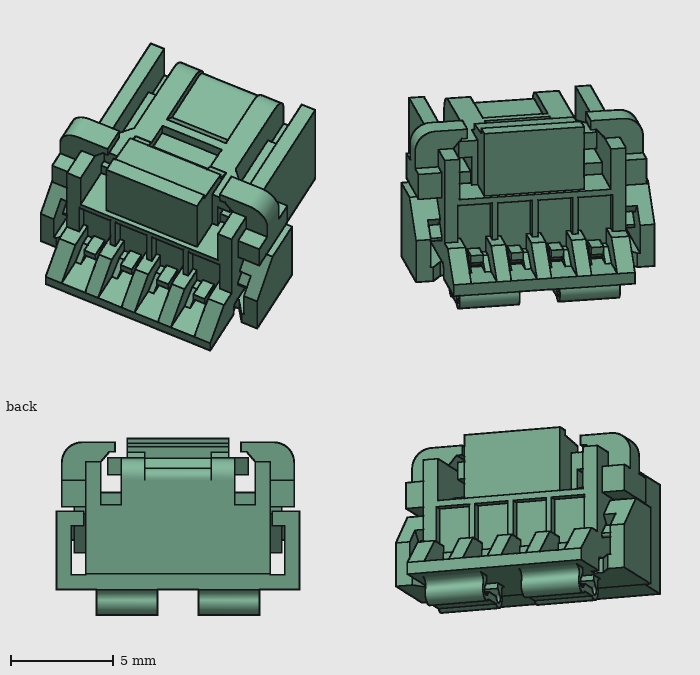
import cadquery as cq
import math


HOUSING_WIDTH = 9.05
HOUSING_DEPTH = 9.0
WALL_TOP = 6.25
WALL_THICKNESS = 0.75
BASE_DEPTH = 3.72
REAR_UNDERSIDE = 0.77
FRONT_SHELF = 4.15
RAIL_TOP = 4.75
RAIL_FRONT = 2.20
RAIL_REAR = 7.30
HALF_HOUSING = HOUSING_WIDTH / 2
HALF_INSIDE = HALF_HOUSING - WALL_THICKNESS

ARM_HALF_WIDTH = 2.785
ARM_FRONT = 1.90
ARM_TOP = 6.46
ARM_TOP_REAR = 6.39
ARM_REAR_RADIUS = 1.0
WING_HALF_WIDTH = 3.44
WING_UNDERSIDE = 5.61
WING_TAPER_REAR = 3.84
WING_TAPER_FRONT = 3.07
BLOCK_HALF_WIDTH = 2.49
BLOCK_FRONT = 0.26
BLOCK_REAR = 3.41
BLOCK_STEP = 1.04
BLOCK_BREAK = 2.81
BLOCK_BREAK_BOTTOM = 6.72
BLOCK_BREAK_TOP = 6.99
BLOCK_STEP_HEIGHT = 7.15
BLOCK_TOP = 7.4
GROOVE_HALF_WIDTH = 1.62
PAD_HEIGHT = 5.93
PAD_RADIUS = 0.56
PAD_FRONT = 5.615
PAD_RAMP_END = 5.01
RECESS_REAR = 4.61
RECESS_FLOOR_REAR = 4.54
RECESS_FLOOR = PAD_HEIGHT
RECESS_FLOOR_FRONT = 3.585
RECESS_RAMP_BREAK = 3.07
RECESS_RAMP_MIDDLE = 6.2
RECESS_RAMP_TOP = 6.32

PITCH = 2.0
POLES = 4
COMB_DEPTH = 2.3
COMB_FLOOR = 0.59
RIB_TOP = 1.94
RIB_FLAT = 0.82
CHANNEL_WIDTH = 1.28
WINDOW_WIDTH = 1.72
WINDOW_TOP = 3.84
WINDOW_DEPTH = 0.5
RAMP_TOP = 1.16
SLOT_WIDTH = 0.68
TOOTH_WIDTH = 0.62
TOOTH_REACH = 0.52
TOOTH_TOP = 1.37
TOOTH_NOSE_BOTTOM = 0.99
TOOTH_ROOT_BOTTOM = 0.67

HOOK_OUTSIDE = 5.69
HOOK_TOP = 7.21
HOOK_RADIUS = 1.0
HOOK_TIP = 3.08
HOOK_TIP_UNDERSIDE = 6.73
HOOK_TIP_FLAT_END = 3.36
HOOK_FRONT = 1.55
HOOK_REAR = 2.81
HOOK_BASE_FRONT = 0.69
HOOK_BASE_BOTTOM = 4.05
HOOK_BASE_TOP = 5.35
STRUT_OUTSIDE = 5.08
STRUT_THICKNESS = 0.25
STRUT_TOP_Y = 2.38
STRUT_TOP_Z = 3.71
STRUT_NOSE_Z = 1.98
STRUT_BOTTOM = 1.80
STRUT_NECK_SAG = 0.11

GUARD_OUTSIDE = 5.95
GUARD_INSIDE = 5.22
GUARD_FRONT = -0.04
GUARD_TOP = 3.84
GUARD_NOSE_TOP = 2.18
FLANGE_INSIDE = 4.60
FLANGE_LIP = 2.93
FLANGE_THICKNESS = 0.72
WEB_THICKNESS = 0.73
WEB_NOSE = 5.09
WEB_ROOT_Y = 0.65
NOTCH_FRONT = 0.25
NOTCH_DEPTH = 0.4
NOTCH_RADIUS = 0.2

CLIP_WIDTH = 3.0
CLIP_SPACING = 5.0
CLIP_CENTRE_Y = 0.18
CLIP_BOTTOM = -1.25
LOOP_OFFSET = 0.86
LOOP_OUTER_RADIUS = 0.52
LOOP_INNER_RADIUS = 0.26
CLIP_FOOT = 1.68
CLIP_NECK = 1.31
CLIP_WAIST = -0.30
CLIP_LOOP_START = -0.53
CLIP_LEG_INSIDE = 0.78
CLIP_LEG_END = -0.28
BAR_TOP = -0.73
BAR_BOTTOM = -1.12
BAR_TOP_HALF_LENGTH = 0.5
LOOP_LEG_ANGLE = 60
LOOP_BAR_ANGLE = 205
LOOP_MIDDLE_ANGLE = -45

CHANNELS = [PITCH * (i - (POLES - 1) / 2) for i in range(POLES)]


def box(x0, x1, y0, y1, z0, z1):
    """Box between opposite corners."""
    return cq.Workplane("XY").box(x1 - x0, y1 - y0, z1 - z0, centered=False).translate((x0, y0, z0))


def side_plane(x0):
    """Sketch plane with local axes (Y, Z), extruding toward +X from x0."""
    return cq.Workplane("YZ").workplane(offset=x0)


def side_prism(points, x0, x1):
    """Prism of a (y, z) outline between x0 and x1."""
    return side_plane(x0).polyline(points).close().extrude(x1 - x0)


def both_sides(shape):
    """The shape together with its mirror image across x = 0."""
    return shape.union(shape.mirror("YZ"))


def make_housing():
    """Body with two side walls and raised rails beside the latch arm."""
    base = box(-HALF_HOUSING, HALF_HOUSING, 0, BASE_DEPTH, 0, FRONT_SHELF)
    rear = box(-HALF_HOUSING, HALF_HOUSING, 0, HOUSING_DEPTH, REAR_UNDERSIDE, FRONT_SHELF)
    rails = box(-HALF_INSIDE, HALF_INSIDE, RAIL_FRONT, RAIL_REAR, FRONT_SHELF, RAIL_TOP)
    wall = box(HALF_INSIDE, HALF_HOUSING, 0, HOUSING_DEPTH, REAR_UNDERSIDE, WALL_TOP)
    return base.union(rear).union(rails).union(both_sides(wall))


def make_arm():
    """Latch arm with a rounded rear edge and two wings overhanging its front."""
    round_start = HOUSING_DEPTH - ARM_REAR_RADIUS
    round_bottom = ARM_TOP_REAR - ARM_REAR_RADIUS
    diagonal = ARM_REAR_RADIUS * math.sqrt(0.5)
    arm = (
        side_plane(-WING_HALF_WIDTH)
        .moveTo(ARM_FRONT, FRONT_SHELF)
        .lineTo(ARM_FRONT, ARM_TOP)
        .lineTo(round_start, ARM_TOP_REAR)
        .threePointArc(
            (round_start + diagonal, round_bottom + diagonal),
            (HOUSING_DEPTH, round_bottom),
        )
        .lineTo(HOUSING_DEPTH, FRONT_SHELF)
        .close()
        .extrude(2 * WING_HALF_WIDTH)
    )
    wing_plan = (
        cq.Workplane("XY")
        .workplane(offset=WING_UNDERSIDE)
        .polyline([
            (0, ARM_FRONT),
            (WING_HALF_WIDTH, ARM_FRONT),
            (WING_HALF_WIDTH, WING_TAPER_FRONT),
            (ARM_HALF_WIDTH, WING_TAPER_REAR),
            (0, WING_TAPER_REAR),
        ])
        .close()
        .extrude(BLOCK_TOP - WING_UNDERSIDE)
    )
    stem = box(-ARM_HALF_WIDTH, ARM_HALF_WIDTH, 0, HOUSING_DEPTH, FRONT_SHELF, BLOCK_TOP)
    return arm.intersect(stem.union(both_sides(wing_plan)))


def make_thumb_block():
    """Stepped block at the front of the arm, sloping down to it behind."""
    outline = [
        (BLOCK_FRONT, FRONT_SHELF),
        (BLOCK_FRONT, BLOCK_TOP),
        (BLOCK_STEP, BLOCK_TOP),
        (BLOCK_STEP, BLOCK_STEP_HEIGHT),
        (BLOCK_BREAK, BLOCK_BREAK_TOP),
        (BLOCK_BREAK, BLOCK_BREAK_BOTTOM),
        (BLOCK_REAR, ARM_TOP),
        (BLOCK_REAR, FRONT_SHELF),
    ]
    return side_prism(outline, -BLOCK_HALF_WIDTH, BLOCK_HALF_WIDTH)


def make_pad_cut():
    """Shallow channel in the rear of the arm, running out over a rounded edge."""
    round_start = HOUSING_DEPTH - PAD_RADIUS
    round_bottom = PAD_HEIGHT - PAD_RADIUS
    diagonal = PAD_RADIUS * math.sqrt(0.5)
    return (
        side_plane(-GROOVE_HALF_WIDTH)
        .moveTo(PAD_RAMP_END, BLOCK_TOP)
        .lineTo(PAD_RAMP_END, ARM_TOP)
        .lineTo(PAD_FRONT, PAD_HEIGHT)
        .lineTo(round_start, PAD_HEIGHT)
        .threePointArc(
            (round_start + diagonal, round_bottom + diagonal),
            (HOUSING_DEPTH, round_bottom),
        )
        .lineTo(HOUSING_DEPTH, BLOCK_TOP)
        .close()
        .extrude(2 * GROOVE_HALF_WIDTH)
    )


def make_recess_cut():
    """Pocket behind the thumb block, with a ramp rising into the block."""
    outline = [
        (RECESS_REAR, BLOCK_TOP),
        (RECESS_REAR, ARM_TOP),
        (RECESS_FLOOR_REAR, RECESS_FLOOR),
        (RECESS_FLOOR_FRONT, RECESS_FLOOR),
        (RECESS_RAMP_BREAK, RECESS_RAMP_MIDDLE),
        (BLOCK_BREAK, RECESS_RAMP_TOP),
        (BLOCK_BREAK, BLOCK_TOP),
    ]
    return side_prism(outline, -GROOVE_HALF_WIDTH, GROOVE_HALF_WIDTH)


def make_comb():
    """Block with the sloped rib outline, reaching to the back of the windows."""
    outline = [
        (WINDOW_DEPTH, 0),
        (WINDOW_DEPTH, RIB_TOP),
        (-RIB_FLAT, RIB_TOP),
        (-COMB_DEPTH, COMB_FLOOR),
        (-COMB_DEPTH, 0),
    ]
    return side_prism(outline, -HALF_HOUSING, HALF_HOUSING)


def make_window_cut(x):
    """Shallow rectangular pocket in the front wall."""
    half = WINDOW_WIDTH / 2
    return box(x - half, x + half, 0, WINDOW_DEPTH, COMB_FLOOR, WINDOW_TOP)


def make_channel_cut(x):
    """Space between two ribs, over a level floor and a slotted ramp."""
    half = CHANNEL_WIDTH / 2
    outline = [
        (-COMB_DEPTH, COMB_FLOOR),
        (-RIB_FLAT, COMB_FLOOR),
        (0, RAMP_TOP),
        (WINDOW_DEPTH, RAMP_TOP),
        (WINDOW_DEPTH, RIB_TOP),
        (-COMB_DEPTH, RIB_TOP),
    ]
    slot_half = SLOT_WIDTH / 2
    slot = box(x - slot_half, x + slot_half, -RIB_FLAT, 0, COMB_FLOOR, RIB_TOP)
    return side_prism(outline, x - half, x + half).union(slot)


def make_tooth(x):
    """Terminal end standing out over the channel, bevelled underneath."""
    outline = [
        (WINDOW_DEPTH, TOOTH_TOP),
        (-TOOTH_REACH, TOOTH_TOP),
        (-TOOTH_REACH, TOOTH_NOSE_BOTTOM),
        (0, TOOTH_ROOT_BOTTOM),
        (WINDOW_DEPTH, TOOTH_ROOT_BOTTOM),
    ]
    return side_prism(outline, x - TOOTH_WIDTH / 2, x + TOOTH_WIDTH / 2)


def make_hook():
    """Hook at +X: wide base, upright stem and inward finger over the wall."""
    base = box(HALF_HOUSING, HOOK_OUTSIDE, HOOK_BASE_FRONT, BASE_DEPTH, HOOK_BASE_BOTTOM, HOOK_BASE_TOP)
    round_x = HOOK_OUTSIDE - HOOK_RADIUS
    round_z = HOOK_TOP - HOOK_RADIUS
    diagonal = HOOK_RADIUS * math.sqrt(0.5)
    finger = (
        cq.Workplane("XZ", origin=(0, HOOK_REAR, 0))
        .moveTo(HALF_HOUSING, HOOK_BASE_BOTTOM)
        .lineTo(HOOK_OUTSIDE, HOOK_BASE_BOTTOM)
        .lineTo(HOOK_OUTSIDE, round_z)
        .threePointArc((round_x + diagonal, round_z + diagonal), (round_x, HOOK_TOP))
        .lineTo(HOOK_TIP, HOOK_TOP)
        .lineTo(HOOK_TIP, HOOK_TIP_UNDERSIDE)
        .lineTo(HOOK_TIP_FLAT_END, HOOK_TIP_UNDERSIDE)
        .lineTo(HALF_INSIDE, WALL_TOP)
        .lineTo(HALF_HOUSING, WALL_TOP)
        .close()
        .extrude(HOOK_REAR - HOOK_FRONT)
    )
    return base.union(finger)


def make_strut():
    """45 degree spring tongue running down and forward from the hook base."""
    nose_y = STRUT_TOP_Y - (STRUT_TOP_Z - STRUT_NOSE_Z)
    heel_y = STRUT_TOP_Y + STRUT_THICKNESS * math.sqrt(2)
    height = STRUT_NOSE_Z - STRUT_BOTTOM
    heel_bottom = STRUT_BOTTOM + heel_y - nose_y - height
    nose_mid = (nose_y, STRUT_NOSE_Z - height / 2)
    neck_mid = (STRUT_TOP_Y + STRUT_NECK_SAG, (HOOK_BASE_BOTTOM + STRUT_TOP_Z) / 2)
    return (
        side_plane(HALF_HOUSING)
        .moveTo(STRUT_TOP_Y, HOOK_BASE_BOTTOM)
        .threePointArc(neck_mid, (STRUT_TOP_Y, STRUT_TOP_Z))
        .lineTo(nose_y, STRUT_NOSE_Z)
        .threePointArc(nose_mid, (nose_y + height, STRUT_BOTTOM))
        .lineTo(heel_y, heel_bottom)
        .lineTo(heel_y, HOOK_BASE_BOTTOM)
        .close()
        .extrude(STRUT_OUTSIDE - HALF_HOUSING)
    )


def make_guard():
    """Guard at +X: outer plate, bent top flange and bottom web to the housing."""
    slope_rear = GUARD_FRONT + GUARD_TOP - GUARD_NOSE_TOP
    plate = side_prism(
        [
            (GUARD_FRONT, 0),
            (GUARD_FRONT, GUARD_NOSE_TOP),
            (slope_rear, GUARD_TOP),
            (BASE_DEPTH, GUARD_TOP),
            (BASE_DEPTH, 0),
        ],
        GUARD_INSIDE,
        GUARD_OUTSIDE,
    )
    lip_y = slope_rear - (GUARD_TOP - FLANGE_LIP)
    lip_step = FLANGE_THICKNESS * math.sqrt(0.5)
    underside = GUARD_TOP - FLANGE_THICKNESS
    bend_y = lip_y + lip_step + underside - (FLANGE_LIP - lip_step)
    flange = side_prism(
        [
            (lip_y, FLANGE_LIP),
            (slope_rear, GUARD_TOP),
            (BASE_DEPTH, GUARD_TOP),
            (BASE_DEPTH, underside),
            (bend_y, underside),
            (lip_y + lip_step, FLANGE_LIP - lip_step),
        ],
        FLANGE_INSIDE,
        GUARD_INSIDE,
    )
    web = (
        cq.Workplane("XY")
        .polyline([
            (GUARD_INSIDE, GUARD_FRONT),
            (WEB_NOSE, GUARD_FRONT),
            (FLANGE_INSIDE, WEB_ROOT_Y),
            (HALF_HOUSING, WEB_ROOT_Y),
            (HALF_HOUSING, BASE_DEPTH),
            (GUARD_INSIDE, BASE_DEPTH),
        ])
        .close()
        .extrude(WEB_THICKNESS)
    )
    return plate.union(flange).union(web)


def make_notch_cut():
    """Notch in the housing side at +X, just ahead of the guard's web."""
    notch = box(HALF_HOUSING - NOTCH_DEPTH, HALF_HOUSING, NOTCH_FRONT, WEB_ROOT_Y, 0, WEB_THICKNESS)
    return notch.edges("|X and >Z and <Y").fillet(NOTCH_RADIUS)


def make_clip(x):
    """Bent strip under the housing: two legs with round loops joined by a bar."""
    loop_z = CLIP_BOTTOM + LOOP_OUTER_RADIUS
    loop_start = LOOP_OFFSET + math.sqrt(LOOP_OUTER_RADIUS**2 - (CLIP_LOOP_START - loop_z) ** 2)
    bar_end = LOOP_OFFSET - math.sqrt(LOOP_OUTER_RADIUS**2 - (loop_z - BAR_BOTTOM) ** 2)

    def loop_point(radius, degrees):
        angle = math.radians(degrees)
        return LOOP_OFFSET + radius * math.cos(angle), loop_z + radius * math.sin(angle)

    half = (
        cq.Workplane("YZ", origin=(x - CLIP_WIDTH / 2, CLIP_CENTRE_Y, 0))
        .moveTo(CLIP_LEG_INSIDE, 0)
        .lineTo(CLIP_FOOT, 0)
        .threePointArc((CLIP_NECK, CLIP_WAIST), (loop_start, CLIP_LOOP_START))
        .threePointArc(loop_point(LOOP_OUTER_RADIUS, LOOP_MIDDLE_ANGLE), (bar_end, BAR_BOTTOM))
        .lineTo(0, BAR_BOTTOM)
        .lineTo(0, BAR_TOP)
        .lineTo(BAR_TOP_HALF_LENGTH, BAR_TOP)
        .lineTo(*loop_point(LOOP_INNER_RADIUS, LOOP_BAR_ANGLE))
        .threePointArc(
            loop_point(LOOP_INNER_RADIUS, LOOP_MIDDLE_ANGLE),
            loop_point(LOOP_INNER_RADIUS, LOOP_LEG_ANGLE),
        )
        .lineTo(CLIP_LEG_INSIDE, CLIP_LEG_END)
        .close()
        .extrude(CLIP_WIDTH)
    )
    return half.union(half.mirror("XZ", (0, CLIP_CENTRE_Y, 0)))


part = make_housing().union(make_arm()).union(make_thumb_block())
part = part.cut(make_pad_cut()).cut(make_recess_cut())

for channel_x in CHANNELS:
    part = part.cut(make_window_cut(channel_x))
comb = make_comb()
for channel_x in CHANNELS:
    comb = comb.cut(make_channel_cut(channel_x)).union(make_tooth(channel_x))
part = part.union(comb)

part = part.union(both_sides(make_hook().union(make_strut())))
part = part.cut(both_sides(make_notch_cut()))
part = part.union(both_sides(make_guard()))
for clip_x in (-CLIP_SPACING / 2, CLIP_SPACING / 2):
    part = part.union(make_clip(clip_x))

result = part